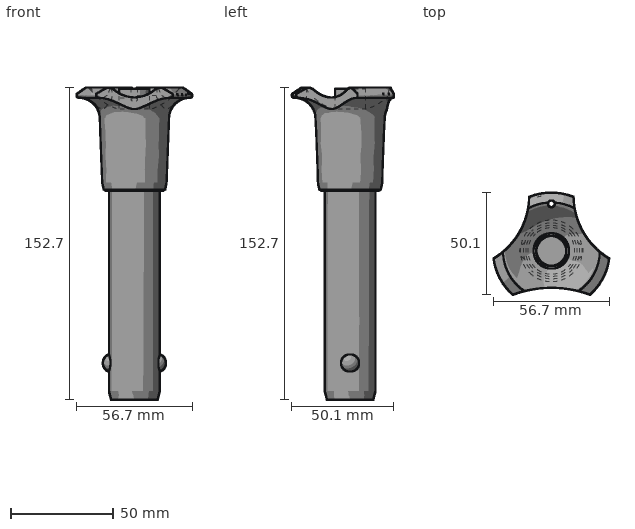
import cadquery as cq
import math


shank_radius = 12.5
shank_length = 102.1
tip_radius = 11.4
tip_chamfer_height = 4.2

ball_radius = 4.5
ball_reach = 15.5
ball_height_above_tip = 18.0

handle_height = 50.6
shoulder_radius = 13.7
shoulder_cone_radius = 15.1
shoulder_cone_height = 0.8
sleeve_bottom_radius = 15.8
sleeve_bottom_z = 4.0
sleeve_top_radius = 17.0

rim_radius = 28.575
rim_underside_depth = 5.1
rim_lower_round = 1.3
rim_upper_round_height = 0.9
rim_upper_round_inset = 0.5
flare_radius = 10.0

bowl_radius = 26.8
bowl_floor_depth = 10.4
bowl_floor_radius = 8.7
bowl_lip_radius = 2.8

button_radius = 7.5
button_edge_chamfer = 0.25
button_recess = 0.5

front_scallop_radius = 54.3
front_scallop_reach = 18.1
side_scallop_radius = 35.5
side_scallop_reach = 18.1
side_scallop_angle = 30.0
scallop_bottom_depth = 14.0

lanyard_hole_diameter = 3.2
lanyard_hole_y = 23.0


def make_handle():
    """Revolve the sleeve, flare, rim and bowl as one solid."""
    rim_bottom_z = handle_height - rim_underside_depth
    rim_widest_z = rim_bottom_z + rim_lower_round
    flare_start_z = rim_bottom_z - flare_radius
    flare_end_radius = sleeve_top_radius + flare_radius
    diagonal = flare_radius * math.sqrt(0.5)

    rim_upper_round = (rim_upper_round_height**2 + rim_upper_round_inset**2) / (2 * rim_upper_round_inset)

    bowl_floor_z = handle_height - bowl_floor_depth
    bowl_centre_z = bowl_floor_z + math.sqrt(bowl_radius**2 - bowl_floor_radius**2)
    lip_centre_z = handle_height - bowl_lip_radius
    lip_drop = bowl_centre_z - lip_centre_z
    lip_angle = math.acos(lip_drop / (bowl_radius + bowl_lip_radius))
    floor_angle = math.asin(bowl_floor_radius / bowl_radius)
    lip_centre_radius = (bowl_radius + bowl_lip_radius) * math.sin(lip_angle)

    def bowl_point(angle):
        return (bowl_radius * math.sin(angle), bowl_centre_z - bowl_radius * math.cos(angle))

    def lip_point(angle):
        return (
            lip_centre_radius - bowl_lip_radius * math.sin(angle),
            lip_centre_z + bowl_lip_radius * math.cos(angle),
        )

    profile = (
        cq.Workplane("XZ")
        .moveTo(0, 0)
        .lineTo(shoulder_radius, 0)
        .lineTo(shoulder_cone_radius, shoulder_cone_height)
        .lineTo(sleeve_bottom_radius, sleeve_bottom_z)
        .lineTo(sleeve_top_radius, flare_start_z)
        .threePointArc(
            (flare_end_radius - diagonal, flare_start_z + diagonal),
            (flare_end_radius, rim_bottom_z),
        )
        .lineTo(rim_radius - rim_lower_round, rim_bottom_z)
        .radiusArc((rim_radius, rim_widest_z), -rim_lower_round)
        .radiusArc(
            (rim_radius - rim_upper_round_inset, rim_widest_z + rim_upper_round_height),
            -rim_upper_round,
        )
        .lineTo(*lip_point(0))
        .threePointArc(lip_point(lip_angle / 2), lip_point(lip_angle))
        .threePointArc(bowl_point((lip_angle + floor_angle) / 2), bowl_point(floor_angle))
        .lineTo(0, bowl_floor_z)
        .close()
    )
    return profile.revolve(360, (0, 0, 0), (0, 1, 0))


def make_scallop_cutter(angle, radius, reach):
    """Vertical cylinder whose nearest point to the axis lies at the given angle."""
    distance = reach + radius
    x = distance * math.cos(math.radians(angle))
    y = distance * math.sin(math.radians(angle))
    bottom_z = handle_height - scallop_bottom_depth
    return cq.Workplane("XY").workplane(offset=bottom_z).center(x, y).circle(radius).extrude(handle_height)


def cut_scallops(handle):
    handle = handle.cut(make_scallop_cutter(-90, front_scallop_radius, front_scallop_reach))
    for angle in (side_scallop_angle, 180 - side_scallop_angle):
        handle = handle.cut(make_scallop_cutter(angle, side_scallop_radius, side_scallop_reach))
    return handle


def cut_lanyard_hole(handle):
    drill = (
        cq.Workplane("XY")
        .center(0, lanyard_hole_y)
        .circle(lanyard_hole_diameter / 2)
        .extrude(handle_height)
    )
    return handle.cut(drill)


def make_button():
    """Button post, rooted in the sleeve and standing up through the bowl."""
    post = cq.Workplane("XY").circle(button_radius).extrude(handle_height - button_recess)
    return post.faces(">Z").edges().chamfer(button_edge_chamfer)


def make_shank():
    """Shank with a tapered tip, overlapping the sleeve above the shoulder."""
    tip_z = -shank_length
    profile = (
        cq.Workplane("XZ")
        .moveTo(0, tip_z)
        .lineTo(tip_radius, tip_z)
        .lineTo(shank_radius, tip_z + tip_chamfer_height)
        .lineTo(shank_radius, shoulder_cone_height)
        .lineTo(0, shoulder_cone_height)
        .close()
    )
    return profile.revolve(360, (0, 0, 0), (0, 1, 0))


def add_locking_balls(shank):
    ball_z = ball_height_above_tip - shank_length
    for side in (-1, 1):
        ball_x = side * (ball_reach - ball_radius)
        ball = cq.Workplane("XY").sphere(ball_radius).translate((ball_x, 0, ball_z))
        shank = shank.union(ball)
    return shank


handle = cut_lanyard_hole(cut_scallops(make_handle()))
shank = add_locking_balls(make_shank())
result = handle.union(make_button()).union(shank)